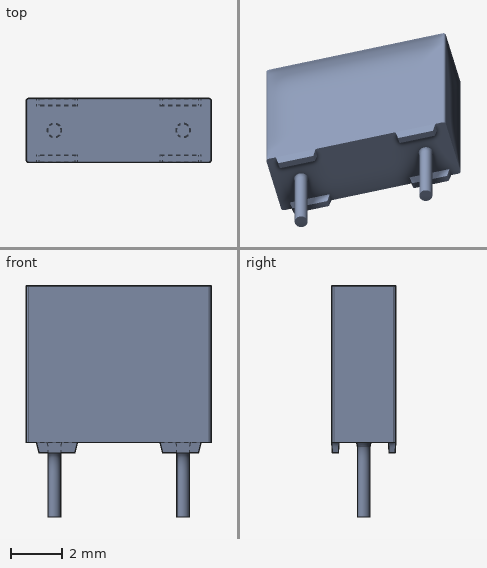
import cadquery as cq


overall_height = 9.0
lead_length = 2.9

case_length = 7.2
case_width = 2.5
case_height = overall_height - lead_length
corner_radius = 0.1
top_edge_radius = 0.03

foot_length = 1.6
foot_width = 0.3
foot_height = 0.4
foot_end_taper = 0.1
foot_side_taper = 0.03
foot_end_inset = 0.4

lead_pitch = 5.0
lead_diameter = 0.5
collar_diameter = 0.57
collar_height = 0.14

foot_x = case_length / 2 - foot_end_inset - foot_length / 2
foot_y = case_width / 2 - foot_width / 2


def make_case():
    """Box with rounded vertical corners and a softened top rim."""
    box = cq.Workplane("XY").box(case_length, case_width, case_height, centered=(True, True, False))
    return box.edges("|Z").fillet(corner_radius).faces(">Z").edges().fillet(top_edge_radius)


def make_foot(x, y):
    """Tapered block hanging from the underside of the case."""
    return (
        cq.Workplane("XY")
        .center(x, y)
        .rect(foot_length, foot_width)
        .workplane(offset=-foot_height)
        .rect(foot_length - 2 * foot_end_taper, foot_width - 2 * foot_side_taper)
        .loft(ruled=True)
    )


def make_lead(x):
    """Straight round wire and its collar, revolved about the wire axis."""
    profile = (
        cq.Workplane("XZ")
        .moveTo(0, 0)
        .lineTo(collar_diameter / 2, 0)
        .lineTo(lead_diameter / 2, -collar_height)
        .lineTo(lead_diameter / 2, -lead_length)
        .lineTo(0, -lead_length)
        .close()
    )
    return profile.revolve(360, (0, 0, 0), (0, 1, 0)).translate((x, 0, 0))


result = make_case()
for side in (-1, 1):
    result = result.union(make_lead(side * lead_pitch / 2))
    for edge in (-1, 1):
        result = result.union(make_foot(side * foot_x, edge * foot_y))